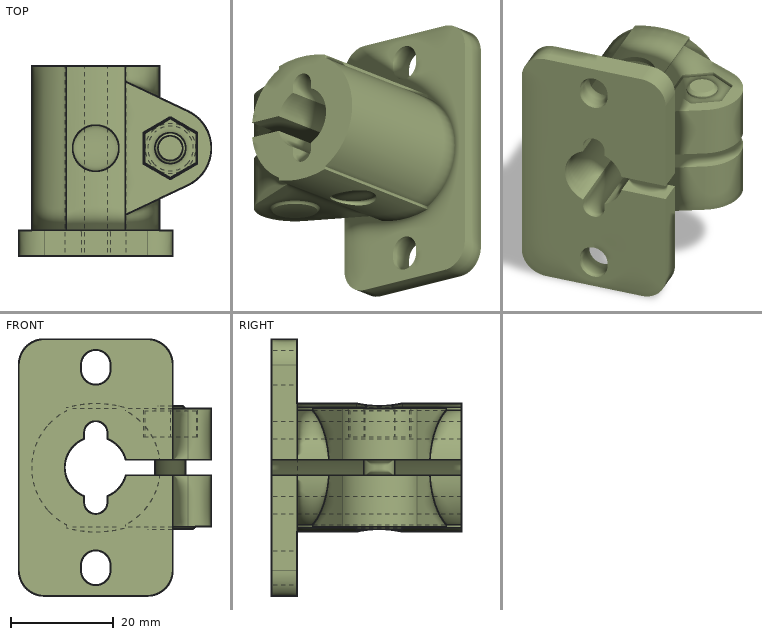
import cadquery as cq
import math

plate_width = 30
plate_height = 50
plate_thickness = 5
plate_corner_radius = 5

slot_width = 5.7
slot_length = 6.7
slot_offset = 19.5

total_depth = 37
barrel_radius = 12.5
barrel_length = total_depth - plate_thickness
barrel_middle = plate_thickness + barrel_length / 2

pad_half_width = 5.7
pad_crown_radius = 21

bore_diameter = 12
keyway_width = 4.5
keyway_reach = 9

lug_top = 11.5
lug_base_half_length = 13
lug_radius = 8
bolt_x = 14.5
clamp_gap = 3

recess_diameter = 9

bolt_diameter = 6
bolt_head_diameter = 10
bolt_head_height = bolt_diameter
bolt_protrusion = 0.5
bolt_chamfer = 0.6
nut_flats = 10
nut_pocket_flats = 10.5
nut_recess = 0.5
nut_thickness = 5
nut_pocket_depth = nut_recess + nut_thickness
nut_pocket_floor = lug_top - nut_pocket_depth


def profile_plane(y):
    """Plane across the bore axis at y: local x is X, local y is Z, extrusion runs toward -Y."""
    return cq.Workplane("XZ", origin=(0, y, 0))


def plate():
    return (
        profile_plane(plate_thickness)
        .rect(plate_width, plate_height)
        .extrude(plate_thickness)
        .edges("|Y")
        .fillet(plate_corner_radius)
    )


def mounting_slots():
    return (
        profile_plane(plate_thickness)
        .pushPoints([(0, slot_offset), (0, -slot_offset)])
        .slot2D(slot_length, slot_width, 90)
        .extrude(plate_thickness)
    )


def barrel():
    """Round barrel with a flatter, crowned pad above and below."""
    crown_drop = pad_crown_radius - math.sqrt(pad_crown_radius**2 - pad_half_width**2)
    pad_edge = barrel_radius - crown_drop
    tube = profile_plane(total_depth).circle(barrel_radius).extrude(barrel_length)
    pads = (
        profile_plane(total_depth)
        .moveTo(-pad_half_width, -pad_edge)
        .lineTo(-pad_half_width, pad_edge)
        .threePointArc((0, barrel_radius), (pad_half_width, pad_edge))
        .lineTo(pad_half_width, -pad_edge)
        .threePointArc((0, -barrel_radius), (-pad_half_width, -pad_edge))
        .close()
        .extrude(barrel_length)
    )
    return tube.union(pads)


def lugs():
    """Rounded ear whose straight sides run tangent from the pad edge to the nose."""
    run = bolt_x - pad_half_width
    base_distance = math.hypot(run, lug_base_half_length)
    side_angle = math.acos(lug_radius / base_distance) - math.atan2(run, lug_base_half_length)
    tangent_x = bolt_x + lug_radius * math.sin(side_angle)
    tangent_y = lug_radius * math.cos(side_angle)
    return (
        cq.Workplane("XY", origin=(0, barrel_middle, -lug_top))
        .moveTo(pad_half_width, -lug_base_half_length)
        .lineTo(tangent_x, -tangent_y)
        .threePointArc((bolt_x + lug_radius, 0), (tangent_x, tangent_y))
        .lineTo(pad_half_width, lug_base_half_length)
        .close()
        .extrude(2 * lug_top)
    )


def bore_and_keyways():
    bore = profile_plane(total_depth).circle(bore_diameter / 2).extrude(total_depth)
    keyways = profile_plane(total_depth).slot2D(2 * keyway_reach, keyway_width, 90).extrude(total_depth)
    return bore.union(keyways)


def clamp_slit():
    return cq.Workplane("XY").box(
        bolt_x + lug_radius, total_depth, clamp_gap, centered=(False, False, True)
    )


def pad_recess(side):
    """Cutter for the recess in the upper (side = 1) or lower (side = -1) pad."""
    depth = barrel_radius - lug_top
    return (
        cq.Workplane("XY", origin=(0, barrel_middle, side * lug_top))
        .circle(recess_diameter / 2)
        .extrude(side * depth)
    )


def hexagon(flats, bottom, height):
    """Hexagonal prism on the bolt axis with two corners along Y."""
    corner_diameter = flats / math.cos(math.pi / 6)
    return (
        cq.Workplane("XY", origin=(bolt_x, barrel_middle, bottom))
        .transformed(rotate=(0, 0, 90))
        .polygon(6, corner_diameter)
        .extrude(height)
    )


def bolt():
    """Shank through both lugs, chamfered at the tip, and a chamfered head below."""
    bolt_end = lug_top + bolt_protrusion
    axis = cq.Workplane("XY", origin=(bolt_x, barrel_middle, -bolt_end))
    shank = axis.circle(bolt_diameter / 2).extrude(2 * bolt_end).faces(">Z").chamfer(bolt_chamfer)
    head = axis.circle(bolt_head_diameter / 2).extrude(bolt_head_height).faces("<Z").chamfer(bolt_chamfer)
    return shank.union(head)


body = plate().cut(mounting_slots()).union(barrel()).union(lugs())
body = body.cut(bore_and_keyways()).cut(clamp_slit())
body = body.cut(pad_recess(1)).cut(pad_recess(-1))
body = body.cut(hexagon(nut_pocket_flats, nut_pocket_floor, nut_pocket_depth))
body = body.union(hexagon(nut_flats, nut_pocket_floor, nut_thickness))

result = body.union(bolt())